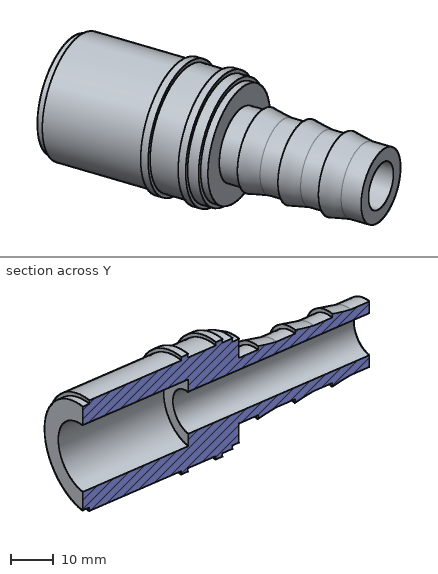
import cadquery as cq


total_length = 84.0
body_length = 45.9
body_diameter = 32.1
end_step_diameter = 30.1
end_step_length = 1.9

ring_diameter = 34.0
ring_width = 2.0
ring_starts = (28.9, 39.0)

hose_diameter = 19.1
barb_diameter = 21.2
barb_count = 3
barb_length = (total_length - body_length) / (2 * barb_count + 1)
barb_pitch = 2 * barb_length
first_barb_start = body_length + barb_length

bore_diameter = 12.0
socket_diameter = 19.15
socket_depth = ring_starts[0] + ring_width


def cylinder(start, length, diameter):
    """Solid cylinder along +X that begins at X = start."""
    return cq.Workplane("YZ", origin=(start, 0, 0)).circle(diameter / 2).extrude(length)


def barb(start):
    """Cone with a sharp front shoulder, falling to the hose diameter towards +X."""
    end = start + barb_length
    profile = [
        (start, 0),
        (start, barb_diameter / 2),
        (end, hose_diameter / 2),
        (end, 0),
    ]
    return cq.Workplane("XY").polyline(profile).close().revolve(360, (0, 0, 0), (1, 0, 0))


main_length = body_length - 2 * end_step_length
result = cylinder(0, body_length, end_step_diameter)
result = result.union(cylinder(end_step_length, main_length, body_diameter))

for ring_start in ring_starts:
    result = result.union(cylinder(ring_start, ring_width, ring_diameter))

result = result.union(cylinder(body_length, total_length - body_length, hose_diameter))
for index in range(barb_count):
    result = result.union(barb(first_barb_start + index * barb_pitch))

result = result.cut(cylinder(0, total_length, bore_diameter))
result = result.cut(cylinder(0, socket_depth, socket_diameter))